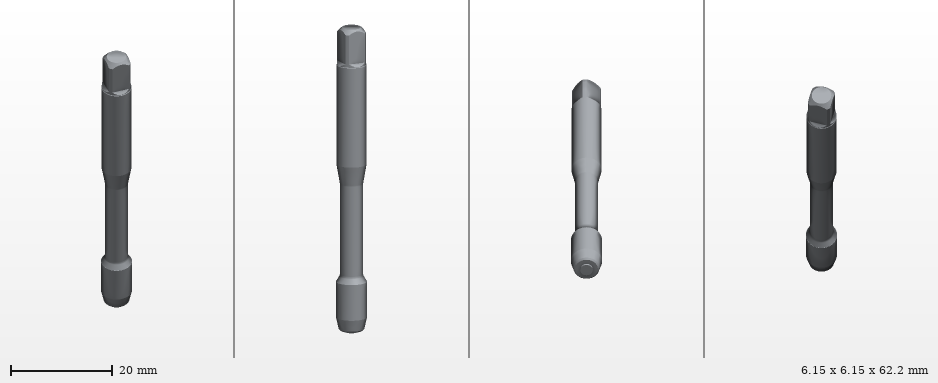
import cadquery as cq
import math

total_length = 62.2
head_top = 10.3
lead_taper_top = 3.05
lead_taper_bottom = 0.7
tip_face = 0.4
neck_fillet_bottom = 11.25
neck_fillet_top = 11.8
taper_bottom = 30.15
taper_fillet_top = 30.4
taper_top = 34.3
shoulder_bottom = 54.55

head_radius = 6.15 / 2
shank_radius = 6.0 / 2
neck_radius = 4.6 / 2
flare_radius = 6.1 / 2
flare_fillet_radius = 2.5
lead_end_radius = 2.55
tip_face_radius = 2.25
boss_radius = 1.25

square_width = 4.6
square_corner_radius = 5.8 / 2
top_face_radius = 1.9
flat_bottom = 55.3
ramp_angle = math.radians(45)

drive_chamfer = square_corner_radius - top_face_radius
shoulder_chamfer = shank_radius - square_corner_radius
taper_corner = (taper_bottom + taper_fillet_top) / 2
taper_slope = (shank_radius - neck_radius) / (taper_top - taper_corner)
taper_fillet_end = shank_radius - taper_slope * (taper_top - taper_fillet_top)


def make_head():
    """Cutting head with a lead taper and a small boss on its tip."""
    profile = (
        cq.Workplane("XZ")
        .moveTo(0, 0)
        .lineTo(boss_radius, 0)
        .lineTo(boss_radius, tip_face)
        .lineTo(tip_face_radius, tip_face)
        .lineTo(lead_end_radius, lead_taper_bottom)
        .lineTo(head_radius, lead_taper_top)
        .lineTo(head_radius, head_top)
        .lineTo(0, head_top)
        .close()
    )
    return profile.revolve(360, (0, 0, 0), (0, 1, 0))


def make_shank_blank():
    """Turned shank: flare, neck, taper, shank cylinder and drive end."""
    profile = (
        cq.Workplane("XZ")
        .moveTo(0, total_length)
        .lineTo(top_face_radius, total_length)
        .lineTo(square_corner_radius, total_length - drive_chamfer)
        .lineTo(square_corner_radius, shoulder_bottom + shoulder_chamfer)
        .lineTo(shank_radius, shoulder_bottom)
        .lineTo(shank_radius, taper_top)
        .lineTo(taper_fillet_end, taper_fillet_top)
        .tangentArcPoint((neck_radius, taper_bottom), relative=False)
        .lineTo(neck_radius, neck_fillet_top)
        .tangentArcPoint((flare_fillet_radius, neck_fillet_bottom), relative=False)
        .lineTo(flare_radius, head_top)
        .lineTo(0, head_top)
        .close()
    )
    return profile.revolve(360, (0, 0, 0), (0, 1, 0))


def make_flat_cutter():
    """Prism that leaves one flat of the square, ending in a sloping ramp."""
    flat_offset = square_width / 2
    outer_offset = 2 * shank_radius
    ramp_drop = (outer_offset - flat_offset) * math.tan(ramp_angle)
    return (
        cq.Workplane("XZ")
        .moveTo(flat_offset, total_length)
        .lineTo(flat_offset, flat_bottom)
        .lineTo(outer_offset, flat_bottom - ramp_drop)
        .lineTo(outer_offset, total_length)
        .close()
        .extrude(shank_radius, both=True)
    )


def make_shank():
    """Shank with the four flats of the square drive."""
    shank_body = make_shank_blank()
    flat_cutter = make_flat_cutter()
    for angle in (0, 90, 180, 270):
        shank_body = shank_body.cut(flat_cutter.rotate((0, 0, 0), (0, 0, 1), angle))
    return shank_body


head = make_head()
shank = make_shank()

result = cq.Compound.makeCompound([head.val(), shank.val()])